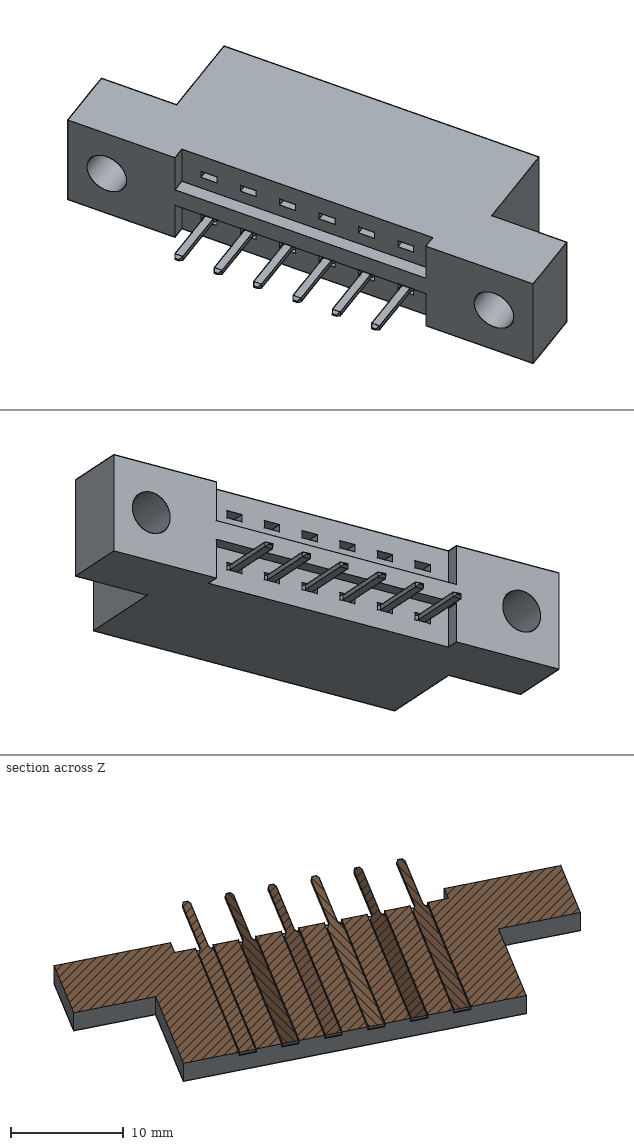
import cadquery as cq

LENGTH = 46.8
HEIGHT = 9.4
FLANGE_DEPTH = 6.35
BODY_DEPTH = 15.3
BODY_WIDTH = 31.7

MOUNT_HOLE_DIAMETER = 4.0
MOUNT_HOLE_SPACING = 38.95

STEP_WIDTH = 25.2
STEP_DEPTH = 1.3
RIB_HEIGHT = 1.82
STEP_HEIGHT = (HEIGHT - RIB_HEIGHT) / 2

CONTACT_COUNT = 6
CONTACT_ROW_LENGTH = 19.8
CONTACT_PITCH = CONTACT_ROW_LENGTH / (CONTACT_COUNT - 1)
ROW_SPACING = 5.05
SLOT_WIDTH = 1.6
SLOT_HEIGHT = 0.7

PIN_WIDTH = 0.8
PIN_THICKNESS = 0.45
PIN_REACH = 4.73
BLADE_WIDTH = 1.5
SHOULDER_LENGTH = 0.7
SHOULDER_SETBACK = 0.1
SHOULDER_START = STEP_DEPTH + SHOULDER_SETBACK
TIP_LENGTH = 0.37
TIP_WIDTH = 0.4
TIP_THICKNESS = 0.15

contact_xs = [i * CONTACT_PITCH - CONTACT_ROW_LENGTH / 2 for i in range(CONTACT_COUNT)]


def make_housing():
    flange = cq.Workplane("XY").box(LENGTH, FLANGE_DEPTH, HEIGHT, centered=(True, False, True))
    body = cq.Workplane("XY").box(BODY_WIDTH, BODY_DEPTH, HEIGHT, centered=(True, False, True))
    housing = flange.union(body)

    for side in (-1, 1):
        step_z = side * (RIB_HEIGHT + STEP_HEIGHT) / 2
        step = cq.Workplane("XY").box(STEP_WIDTH, STEP_DEPTH, STEP_HEIGHT, centered=(True, False, True))
        housing = housing.cut(step.translate((0, 0, step_z)))

    mount_holes = (
        cq.Workplane("XZ")
        .pushPoints([(-MOUNT_HOLE_SPACING / 2, 0), (MOUNT_HOLE_SPACING / 2, 0)])
        .circle(MOUNT_HOLE_DIAMETER / 2)
        .extrude(-FLANGE_DEPTH)
    )
    slots = (
        cq.Workplane("XZ")
        .pushPoints([(x, side * ROW_SPACING / 2) for x in contact_xs for side in (-1, 1)])
        .rect(SLOT_WIDTH, SLOT_HEIGHT)
        .extrude(-BODY_DEPTH)
    )
    return housing.cut(mount_holes).cut(slots)


def make_pin(x):
    shank_end = TIP_LENGTH - PIN_REACH
    shoulder_end = SHOULDER_START + SHOULDER_LENGTH
    half_shank = PIN_WIDTH / 2
    half_blade = BLADE_WIDTH / 2
    strip = (
        cq.Workplane("XY")
        .polyline([
            (-half_shank, shank_end),
            (half_shank, shank_end),
            (half_shank, SHOULDER_START),
            (half_blade, shoulder_end),
            (half_blade, BODY_DEPTH),
            (-half_blade, BODY_DEPTH),
            (-half_blade, shoulder_end),
            (-half_shank, SHOULDER_START),
        ])
        .close()
        .extrude(PIN_THICKNESS / 2, both=True)
    )
    tip = (
        cq.Workplane("XZ", origin=(0, shank_end, 0))
        .rect(PIN_WIDTH, PIN_THICKNESS)
        .workplane(offset=TIP_LENGTH)
        .rect(TIP_WIDTH, TIP_THICKNESS)
        .loft(ruled=True)
    )
    return strip.union(tip).translate((x, 0, -ROW_SPACING / 2))


housing = make_housing()
pins = [make_pin(x) for x in contact_xs]

result = cq.Compound.makeCompound([housing.val(), *[pin.val() for pin in pins]])